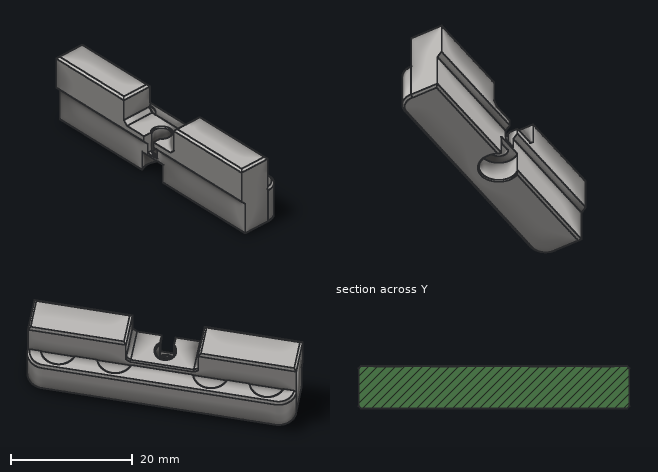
import cadquery as cq
bar_length = 44.9
height = 13.3
body_depth = 5.9
bevel = 0.4

front_step = 0.8
step_top = 7.1

length = 45.0
total_depth = 8.9
flange_height = 7.0
flange_corner_radius = 2.95

notch_width = 12.05
notch_floor = 8.2
notch_corner = 0.75
notch_rear_bevel = 0.25

screw_diameter = 3.2
screw_rim = 0.22
screw_y = 2.9
head_diameter = 6.5
head_depth = 4.0
slot_width = 2.35
slot_floor = 4.5
lip_length = 0.85
screw_hole_floor = 4.35

recess_diameter = 6.0
recess_y = 4.95
recess_offsets = (8.0, 17.45)
recess_depth = 0.15

pick_margin = 0.05


def make_bar():
    """Bar with the stepped front, before notching and bevelling."""
    profile = [
        (front_step, 0),
        (body_depth, 0),
        (body_depth, height),
        (0, height),
        (0, step_top),
        (front_step, step_top - front_step),
    ]
    return cq.Workplane("YZ").polyline(profile).close().extrude(bar_length / 2, both=True)


def make_notch():
    """Prism that opens the top of the bar, with 45 degree lower corners."""
    half = notch_width / 2
    outline = [
        (-half, height),
        (-half, notch_floor + notch_corner),
        (-half + notch_corner, notch_floor),
        (half - notch_corner, notch_floor),
        (half, notch_floor + notch_corner),
        (half, height),
    ]
    return cq.Workplane("XZ").polyline(outline).close().extrude(-body_depth)


def bevel_bar(bar):
    """Bevel the top outlines, the base edges and the rear edges of the notch floor."""
    bar = bar.faces(">Z").edges().chamfer(bevel)
    bar = bar.faces("<Z").edges("not >Y").chamfer(bevel)
    half = notch_width / 2 - pick_margin
    rear_notch_edges = cq.selectors.BoxSelector(
        (-half, body_depth - pick_margin, notch_floor - pick_margin),
        (half, body_depth + pick_margin, notch_floor + notch_corner),
    )
    return bar.edges(rear_notch_edges).chamfer(notch_rear_bevel)


def block(width, depth, tall, y, z):
    """Box centred on X = 0 that starts at the given Y and Z."""
    box = cq.Workplane("XY").box(width, depth, tall, centered=(True, False, False))
    return box.translate((0, y, z))


def make_flange():
    """Low plate behind the bar with rounded rear corners and bevelled rims."""
    flange = block(length, total_depth - body_depth, flange_height, body_depth, 0)
    flange = flange.edges("|Z and >Y").fillet(flange_corner_radius)
    return flange.faces("<Z or >Z").edges("not <Y").chamfer(bevel)


def cylinder(diameter, bottom, top, x, y):
    """Upright cylinder between two heights."""
    return cq.Workplane("XY", origin=(x, y, bottom)).circle(diameter / 2).extrude(top - bottom)


def cone_rim(diameter, wide_z, direction):
    """Bevel of a hole on the screw axis, widest at wide_z and narrowing along direction."""
    return cq.Workplane(
        cq.Solid.makeCone(
            diameter / 2 + screw_rim,
            diameter / 2,
            screw_rim,
            pnt=cq.Vector(0, screw_y, wide_z),
            dir=cq.Vector(0, 0, direction),
        )
    )


def cut_screw_seat(part):
    """Screw hole, head pocket and front slot, leaving a thin lip between slot and pocket."""
    hole = cylinder(screw_diameter, screw_hole_floor, notch_floor, 0, screw_y)
    lip_end = front_step + lip_length
    behind_lip = block(length, total_depth, height, lip_end, 0)
    opening = cylinder(screw_diameter, head_depth, screw_hole_floor, 0, screw_y).intersect(behind_lip)
    slot = block(slot_width, screw_y, notch_floor - slot_floor, 0, slot_floor)
    pocket = cylinder(head_diameter, 0, head_depth, 0, screw_y)
    part = part.cut(hole).cut(opening).cut(slot).cut(pocket)
    part = part.cut(cone_rim(screw_diameter, notch_floor, -1))
    return part.cut(cone_rim(head_diameter, 0, 1))


def cut_flange_recesses(part):
    """Shallow round recesses that stop against the rear face of the bar."""
    behind_bar = block(length, total_depth, height, body_depth, 0)
    recess_floor = flange_height - recess_depth
    for offset in recess_offsets:
        for x in (-offset, offset):
            disc = cylinder(recess_diameter, recess_floor, flange_height, x, recess_y)
            part = part.cut(disc.intersect(behind_bar))
    return part


bar = bevel_bar(make_bar().cut(make_notch()))
part = bar.union(make_flange())
part = cut_screw_seat(part)
result = cut_flange_recesses(part)